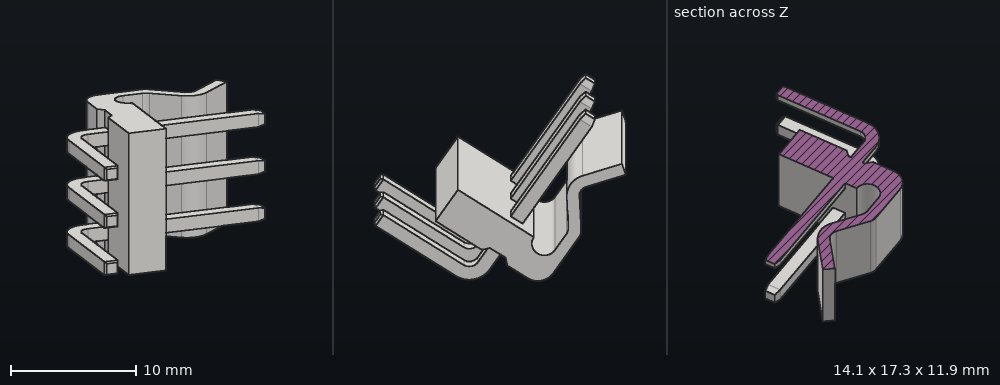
import cadquery as cq
import math

width = 11.88
body_length = 10.3
body_height = 3.21
corner_radius = 1.5

arm_thickness = 1.0
relief_radius = 1.0
knee_height = 5.51
knee_radius = 0.93
apex_height = 8.62
apex_inner_radius = 0.81
tip_height = 11.71
lower_lean = math.radians(36.4)
upper_lean = math.radians(38.2)

groove_start = 3.44
groove_end = 5.89
groove_depth = 0.48

pin_count = 3
pin_pitch = 3.95
pin_size = 1.14
pin_left = 4.1
pin_bottom = -3.47
pin_top = 13.8
pin_end = 13.95
bend_outer_radius = 1.97
tip_inset = 0.12
top_taper_length = 0.62
end_taper_length = 0.2


def make_housing():
    """Body and springy latch arm, extruded along Z."""
    apex_x = (apex_height - knee_height) * math.tan(lower_lean)
    tip_x = apex_x - (tip_height - apex_height) * math.tan(upper_lean)

    inner_knee_height = knee_height - arm_thickness * math.tan(lower_lean / 2)
    apex_half_turn = (lower_lean + upper_lean) / 2
    apex_miter = arm_thickness / math.cos(apex_half_turn)
    miter_tilt = (upper_lean - lower_lean) / 2
    inner_apex_x = apex_x + apex_miter * math.cos(miter_tilt)
    inner_apex_height = apex_height + apex_miter * math.sin(miter_tilt)
    inner_tip_x = tip_x + arm_thickness * math.cos(upper_lean)
    inner_tip_height = tip_height + arm_thickness * math.sin(upper_lean)

    relief_end = arm_thickness + 2 * relief_radius
    relief_middle = arm_thickness + relief_radius

    housing = (
        cq.Workplane("XY")
        .moveTo(0, 0)
        .lineTo(groove_start, 0)
        .lineTo(groove_start + groove_depth, groove_depth)
        .lineTo(groove_end - groove_depth, groove_depth)
        .lineTo(groove_end, 0)
        .lineTo(body_length, 0)
        .lineTo(body_length, body_height)
        .lineTo(relief_end, body_height)
        .threePointArc(
            (relief_middle, body_height - relief_radius),
            (arm_thickness, body_height),
        )
        .lineTo(arm_thickness, inner_knee_height)
        .lineTo(inner_apex_x, inner_apex_height)
        .lineTo(inner_tip_x, inner_tip_height)
        .lineTo(tip_x, tip_height)
        .lineTo(apex_x, apex_height)
        .lineTo(0, knee_height)
        .close()
        .extrude(width / 2, both=True)
    )

    rounded_edges = [
        (0, 0, corner_radius),
        (0, knee_height, knee_radius),
        (arm_thickness, inner_knee_height, knee_radius),
        (apex_x, apex_height, apex_inner_radius),
        (inner_apex_x, inner_apex_height, apex_inner_radius + arm_thickness),
    ]
    for x, y, radius in rounded_edges:
        nearest_edge = cq.selectors.NearestToPointSelector((x, y, 0))
        housing = housing.edges("|Z").edges(nearest_edge).fillet(radius)
    return housing


def make_taper(base_plane, length):
    """Pyramid frustum that narrows a pin end by the tip inset on each side."""
    tip_size = pin_size - 2 * tip_inset
    return (
        cq.Workplane(base_plane)
        .rect(pin_size, pin_size)
        .workplane(offset=length)
        .rect(tip_size, tip_size)
        .loft(combine=True)
    )


def make_pin():
    """Square pin bent at a right angle, with tapered ends."""
    upright_end = pin_top - top_taper_length
    foot_end = pin_end - end_taper_length
    pin_right = pin_left + pin_size
    foot_top = pin_bottom + pin_size

    pin = (
        cq.Workplane("XY")
        .moveTo(pin_left, pin_bottom)
        .lineTo(foot_end, pin_bottom)
        .lineTo(foot_end, foot_top)
        .lineTo(pin_right, foot_top)
        .lineTo(pin_right, upright_end)
        .lineTo(pin_left, upright_end)
        .close()
        .extrude(pin_size / 2, both=True)
    )
    bend_edges = [
        (pin_left, pin_bottom, bend_outer_radius),
        (pin_right, foot_top, bend_outer_radius - pin_size),
    ]
    for x, y, radius in bend_edges:
        nearest_edge = cq.selectors.NearestToPointSelector((x, y, 0))
        pin = pin.edges("|Z").edges(nearest_edge).fillet(radius)

    top_plane = cq.Plane(
        origin=(pin_left + pin_size / 2, upright_end, 0), xDir=(1, 0, 0), normal=(0, 1, 0)
    )
    end_plane = cq.Plane(
        origin=(foot_end, pin_bottom + pin_size / 2, 0), xDir=(0, 1, 0), normal=(1, 0, 0)
    )
    pin = pin.union(make_taper(top_plane, top_taper_length))
    return pin.union(make_taper(end_plane, end_taper_length))


result = make_housing()
pin = make_pin()
for index in range(pin_count):
    pin_z = (index - (pin_count - 1) / 2) * pin_pitch
    result = result.union(pin.translate((0, 0, pin_z)))